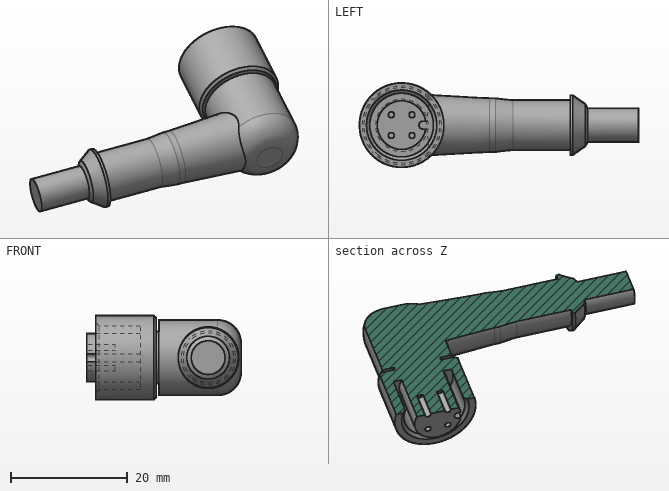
import cadquery as cq


nut_diameter = 14.5
nut_front = 1.55
nut_back = 11.95
nut_chamfer = 0.5
bore_diameter = 10.9
bore_mouth_chamfer = 0.57
bore_depth = 7.65

insert_diameter = 8.33
contact_diameter = 1.0
contact_spacing = 3.55
contact_depth = 4.8
key_floor_radius = 2.95
key_width = 1.35

neck_diameter = 9.0
housing_front = 12.4
housing_back = 26.5
housing_diameter = 12.95
dome_radius = 4.1

outlet_x = 20.8
outlet_root_diameter = 11.0
collar_diameter = 9.3
collar_start = 15.0
collar_end = 16.05
sleeve_diameter = 8.6
sleeve_start = 19.05
flange_diameter = 10.3
flange_start = 28.85
flange_end = 29.35
nose_diameter = 7.3
nose_start = 31.45
nose_end = 31.85
cable_diameter = 5.8
overall_length = 47.85
cable_end = overall_length - nut_diameter / 2


def x_cylinder(diameter, start, end):
    """Solid cylinder on the plug axis between two X positions."""
    return cq.Workplane("YZ", origin=(start, 0, 0)).circle(diameter / 2).extrude(end - start)


def make_nut():
    nut = x_cylinder(nut_diameter, nut_front, nut_back).faces(">X").chamfer(nut_chamfer)
    bore = x_cylinder(bore_diameter, nut_front, nut_front + bore_depth)
    mouth_edge = cq.selectors.RadiusNthSelector(0)
    return nut.cut(bore).faces("<X").edges(mouth_edge).chamfer(bore_mouth_chamfer)


def make_key_slot():
    """Round-bottomed keyway on the -Y side of the insert."""
    half_width = key_width / 2
    opening_y = -insert_diameter / 2 - half_width
    round_y = -key_floor_radius - half_width
    return (
        cq.Workplane("YZ")
        .moveTo(opening_y, -half_width)
        .lineTo(round_y, -half_width)
        .threePointArc((-key_floor_radius, 0), (round_y, half_width))
        .lineTo(opening_y, half_width)
        .close()
        .extrude(nut_front + bore_depth)
    )


def make_insert():
    insert = x_cylinder(insert_diameter, 0, housing_front)
    contacts = (
        cq.Workplane("YZ")
        .rarray(contact_spacing, contact_spacing, 2, 2)
        .circle(contact_diameter / 2)
        .extrude(contact_depth)
    )
    return insert.cut(contacts).cut(make_key_slot())


def make_housing():
    neck = x_cylinder(neck_diameter, nut_back, housing_front)
    housing = x_cylinder(housing_diameter, housing_front, housing_back)
    return housing.faces(">X").edges().fillet(dome_radius).union(neck)


def make_outlet():
    """Tapered outlet, sleeve, flared flange and cable as one revolved body."""
    return (
        cq.Workplane("XY", origin=(outlet_x, 0, 0))
        .lineTo(outlet_root_diameter / 2, 0)
        .lineTo(collar_diameter / 2, -collar_start)
        .lineTo(collar_diameter / 2, -collar_end)
        .lineTo(sleeve_diameter / 2, -sleeve_start)
        .lineTo(sleeve_diameter / 2, -flange_start)
        .lineTo(flange_diameter / 2, -flange_start)
        .lineTo(flange_diameter / 2, -flange_end)
        .lineTo(nose_diameter / 2, -nose_start)
        .lineTo(cable_diameter / 2, -nose_end)
        .lineTo(cable_diameter / 2, -cable_end)
        .lineTo(0, -cable_end)
        .close()
        .revolve(360, (0, 0, 0), (0, 1, 0))
    )


result = make_housing().union(make_outlet()).union(make_nut()).union(make_insert())